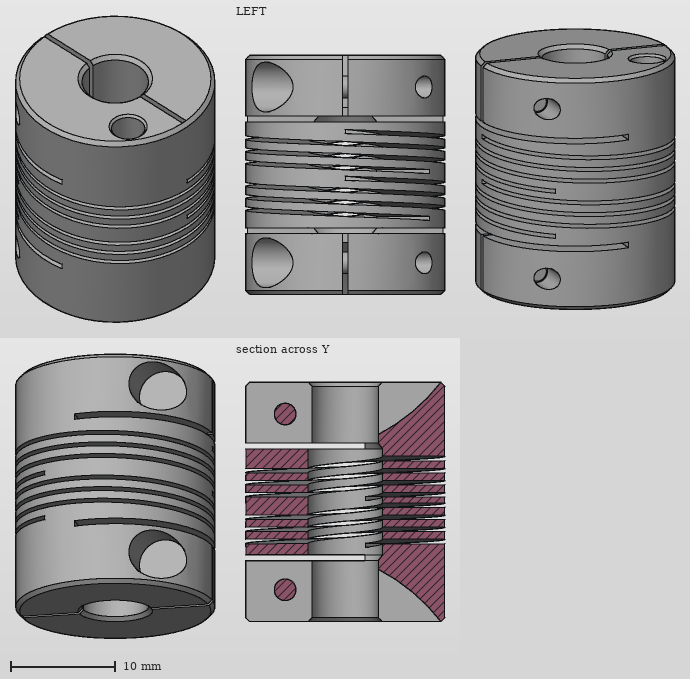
import cadquery as cq
import math

LENGTH = 22.85
MID_HEIGHT = LENGTH / 2
OUTER_DIAMETER = 19.05
OUTER_RADIUS = OUTER_DIAMETER / 2
CHAMFER = 0.4
CLEARANCE = 0.45

RELIEF_DIAMETER = 7.1
RELIEF_RADIUS = RELIEF_DIAMETER / 2
BORE_RADIUS = RELIEF_RADIUS - CHAMFER

SLOT_HEIGHT = 0.55
SLOT_OFFSET = 5.33
SLOT_END_X = 1.87
CLAMP_START = MID_HEIGHT + SLOT_OFFSET + SLOT_HEIGHT / 2

SLIT_WIDTH = 0.5
SAW_RADIUS = 18.29
SLIT_RIM_X = OUTER_RADIUS - CHAMFER
SLIT_BORE_Z = 17.88

SCREW_X = -5.74
SCREW_OFFSET = 8.4
SCREW_HOLE_DIAMETER = 2.08
SCREW_END_Y = -5.03
SCREW_END_CHAMFER = 0.18
HEAD_BORE_DIAMETER = 4.75
HEAD_BORE_FLOOR_Y = 4.35

DRILL_X = 5.74
DRILL_Y = -4.2
DRILL_DIAMETER = 3.18
DRILL_DEPTH = 3.43
DRILL_CHAMFER = 0.23
DRILL_TIP_DIAMETER = 0.45
DRILL_POINT_ANGLE = 118.0

HELIX_LEAD = 2.3
HELIX_SLOT_HEIGHT = 0.4
HELIX_FIRST_ANGLE = 180.0
HELIX_SWEEP = 597.5
STARTS = 2
GROUP_SPACING = 4.45


def make_body():
    """Chamfered cylinder with a bore and a conical-ended inner relief."""
    body = cq.Workplane("XY").circle(OUTER_RADIUS).extrude(LENGTH).edges().chamfer(CHAMFER)
    relief_start = LENGTH - CLAMP_START
    bore_half_section = [
        (0, 0),
        (RELIEF_RADIUS, 0),
        (BORE_RADIUS, CHAMFER),
        (BORE_RADIUS, relief_start),
        (RELIEF_RADIUS, relief_start + SLOT_HEIGHT),
        (RELIEF_RADIUS, CLAMP_START - SLOT_HEIGHT),
        (BORE_RADIUS, CLAMP_START),
        (BORE_RADIUS, LENGTH - CHAMFER),
        (RELIEF_RADIUS, LENGTH),
        (0, LENGTH),
    ]
    bore = cq.Workplane("XZ").polyline(bore_half_section).close().revolve(360, (0, 0), (0, 1))
    return body.cut(bore)


def helical_cutter(bottom_z, bottom_angle):
    """Radial rectangular section swept up a left-hand helix."""
    inner = BORE_RADIUS - CLEARANCE
    outer = OUTER_RADIUS + CLEARANCE
    middle = (inner + outer) / 2
    rise = HELIX_LEAD * HELIX_SWEEP / 360
    path = cq.Wire.makeHelix(HELIX_LEAD, rise, middle, lefthand=True)
    section = cq.Workplane("XZ").center(middle, 0).rect(outer - inner, HELIX_SLOT_HEIGHT)
    cutter = section.sweep(cq.Workplane(obj=path), isFrenet=True)
    return cutter.rotate((0, 0, 0), (0, 0, 1), bottom_angle).translate((0, 0, bottom_z))


def cut_spring(body):
    rise = HELIX_LEAD * HELIX_SWEEP / 360
    bottom_angle = HELIX_FIRST_ANGLE + HELIX_SWEEP
    for side in (-1, 1):
        bottom_z = MID_HEIGHT + side * GROUP_SPACING / 2 - rise / 2
        for start in range(STARTS):
            body = body.cut(helical_cutter(bottom_z, bottom_angle + start * 360 / STARTS))
    return body


def transverse_slot():
    """Slot below the upper clamp, open on the -X side."""
    slot_length = SLOT_END_X + OUTER_RADIUS + CLEARANCE
    return (
        cq.Workplane("XY")
        .box(slot_length, OUTER_DIAMETER + 2 * CLEARANCE, SLOT_HEIGHT)
        .translate((SLOT_END_X - slot_length / 2, 0, MID_HEIGHT + SLOT_OFFSET))
    )


def clamp_slit():
    """Slit through the -X wall of the upper clamp, with a saw-curved floor on the +X side."""
    run = SLIT_RIM_X - BORE_RADIUS
    climb = LENGTH - SLIT_BORE_Z
    chord = math.hypot(run, climb)
    sag = SAW_RADIUS - math.sqrt(SAW_RADIUS**2 - (chord / 2) ** 2)
    arc_middle = (
        (BORE_RADIUS + SLIT_RIM_X) / 2 + sag * climb / chord,
        (SLIT_BORE_Z + LENGTH) / 2 - sag * run / chord,
    )
    open_x = -OUTER_RADIUS - CLEARANCE
    slot_middle_z = MID_HEIGHT + SLOT_OFFSET
    return (
        cq.Workplane("XZ")
        .moveTo(open_x, slot_middle_z)
        .lineTo(0, slot_middle_z)
        .lineTo(0, SLIT_BORE_Z)
        .lineTo(BORE_RADIUS, SLIT_BORE_Z)
        .threePointArc(arc_middle, (SLIT_RIM_X, LENGTH))
        .lineTo(open_x, LENGTH)
        .close()
        .extrude(SLIT_WIDTH / 2, both=True)
    )


def along_screw(diameter, start_y, end_y):
    """Cylinder on the upper screw axis, from start_y to end_y."""
    return (
        cq.Workplane("XZ", origin=(SCREW_X, start_y, MID_HEIGHT + SCREW_OFFSET))
        .circle(diameter / 2)
        .extrude(start_y - end_y)
    )


def add_clamp_features(body):
    """Cut both clamps alike and leave a screw shank bridging each slit."""
    screw_hole = along_screw(SCREW_HOLE_DIAMETER, -OUTER_RADIUS, 0)
    head_bore = along_screw(HEAD_BORE_DIAMETER, HEAD_BORE_FLOOR_Y, OUTER_RADIUS)
    shank = along_screw(SCREW_HOLE_DIAMETER, SCREW_END_Y, HEAD_BORE_FLOOR_Y)
    shank = shank.faces("<Y").chamfer(SCREW_END_CHAMFER)
    cutter = transverse_slot().union(clamp_slit()).union(screw_hole).union(head_bore)
    middle = (0, 0, MID_HEIGHT)
    for clamp_cutter, screw in (
        (cutter, shank),
        (cutter.mirror("XY", middle), shank.mirror("XY", middle)),
    ):
        body = body.cut(clamp_cutter).union(screw)
    return body


def drilled_hole():
    """Blind hole with a chamfered mouth and a blunt conical floor."""
    radius = DRILL_DIAMETER / 2
    tip_radius = DRILL_TIP_DIAMETER / 2
    cone_depth = (radius - tip_radius) / math.tan(math.radians(DRILL_POINT_ANGLE / 2))
    half_section = [
        (0, 0),
        (radius + DRILL_CHAMFER, 0),
        (radius, -DRILL_CHAMFER),
        (radius, -DRILL_DEPTH),
        (tip_radius, -DRILL_DEPTH - cone_depth),
        (0, -DRILL_DEPTH - cone_depth),
    ]
    hole = cq.Workplane("XZ").polyline(half_section).close().revolve(360, (0, 0), (0, 1))
    return hole.translate((DRILL_X, DRILL_Y, LENGTH))


result = add_clamp_features(cut_spring(make_body())).cut(drilled_hole())